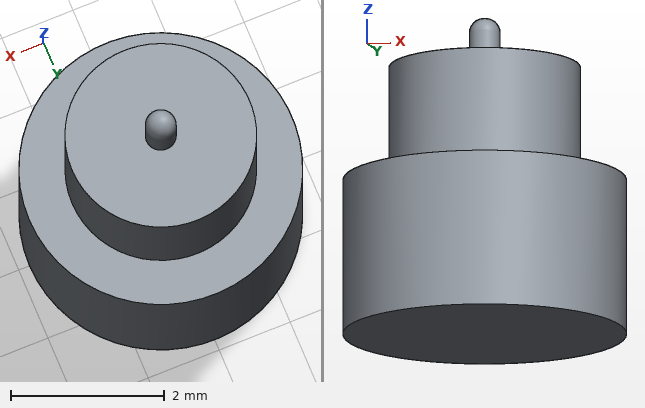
import cadquery as cq

total_height = 4.2
base_diameter = 3.7
base_height = 2.05
collar_diameter = 2.5
collar_height = 1.5
pin_diameter = 0.405
pin_tip_radius = 0.19

pin_height = total_height - base_height - collar_height


def cylinder(diameter, height, bottom):
    """Upright cylinder on the Z axis, starting at the given height."""
    return cq.Workplane("XY").workplane(offset=bottom).circle(diameter / 2).extrude(height)


base = cylinder(base_diameter, base_height, 0)
collar = cylinder(collar_diameter, collar_height, base_height)

pin = cylinder(pin_diameter, pin_height, base_height + collar_height)
pin = pin.faces(">Z").edges().fillet(pin_tip_radius)

result = base.union(collar).union(pin)